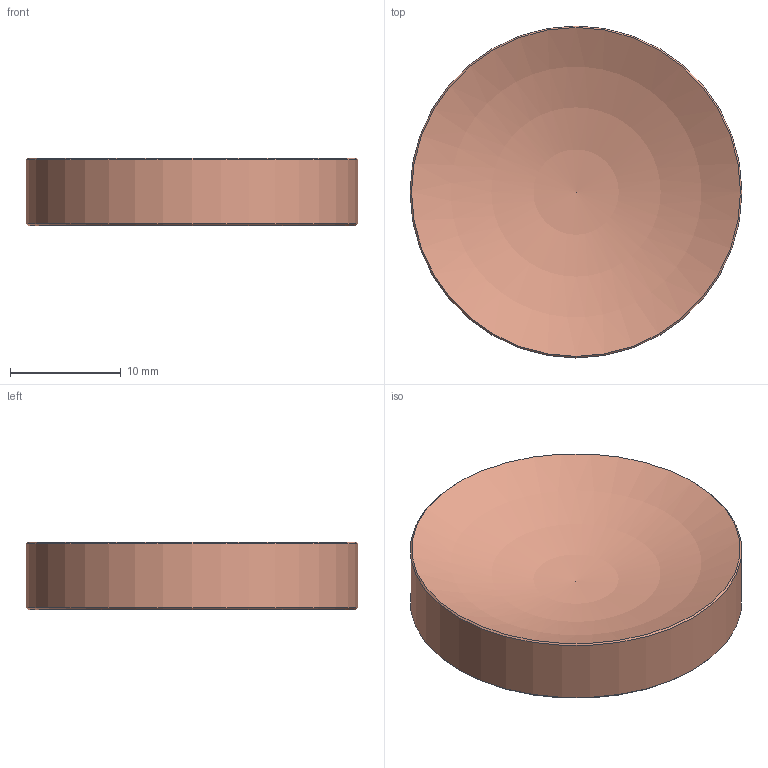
import cadquery as cq
import math

diameter = 30.0
edge_thickness = 6.1
centre_thickness = 2.5
dish_sphere_radius = 32.5
bottom_bevel = 0.2

radius = diameter / 2
sphere_centre_height = centre_thickness + dish_sphere_radius

dish_rim_radius = math.sqrt(dish_sphere_radius**2 - (sphere_centre_height - edge_thickness) ** 2)
top_bevel = radius - dish_rim_radius


def dish_height(distance_from_axis):
    """Height of the spherical dish surface at a distance from the lens axis."""
    return sphere_centre_height - math.sqrt(dish_sphere_radius**2 - distance_from_axis**2)


def make_lens():
    """Half section of the lens turned once around the Z axis."""
    arc_mid_radius = dish_rim_radius / 2
    half_section = (
        cq.Workplane("XZ")
        .moveTo(0, 0)
        .lineTo(radius - bottom_bevel, 0)
        .lineTo(radius, bottom_bevel)
        .lineTo(radius, edge_thickness - top_bevel)
        .lineTo(dish_rim_radius, edge_thickness)
        .threePointArc((arc_mid_radius, dish_height(arc_mid_radius)), (0, centre_thickness))
        .close()
    )
    return half_section.revolve(360, (0, 0), (0, 1))


result = make_lens()